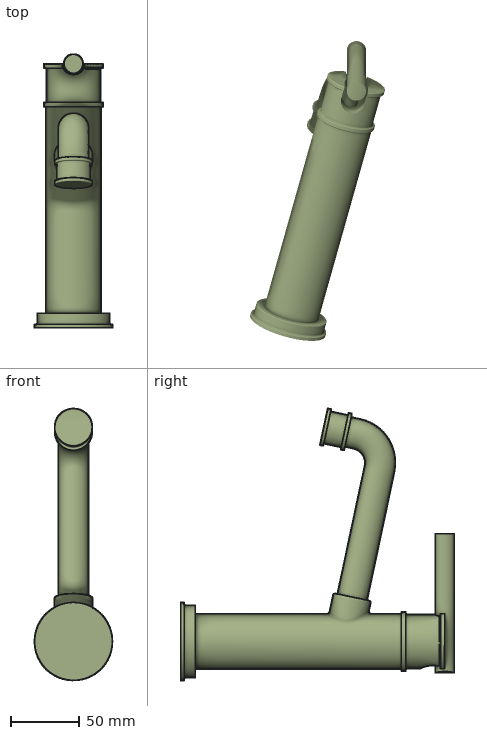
import cadquery as cq
import math

FLANGE_DIAMETER = 57.15
FLANGE_END = 2.6
HUB_DIAMETER = 53.1
HUB_END = 10.8
HUB_FILLET = 1.1
BODY_DIAMETER = 40.64
CAP_DIAMETER = 39.6
BAND_DIAMETER = 43.4
BAND_WIDTH = 3.3
BAND_START = 161.6
BAND_FILLET = 0.7
EDGE_ROUND = 0.5

TOLERANCE = 0.001

OVERALL_LENGTH = 200.34
HANDLE_DIAMETER = 14.1
HANDLE_BOTTOM = -23.0
HANDLE_TOP = 78.8
STEM_DIAMETER = 10.0
CAP_END = OVERALL_LENGTH - HANDLE_DIAMETER / 2

HANDLE_HOLE_DIAMETER = 16.0
SLOT_WIDTH = 17.8
SLOT_LENGTH = 18.1

SPOUT_LEAN = 12.0
SPOUT_ROOT_Y = 118.7
SPOUT_DIAMETER = 22.3
BEND_START = 129.1
BEND_RADIUS = 21.6
COLLAR_DIAMETER = 28.2
COLLAR_END = 33.2
COLLAR_ROUND = 1.7
COLLAR_BLEND = 1.5
OUTLET_DIAMETER = 24.2
OUTLET_BAND_DIAMETER = 27.6
OUTLET_BAND_WIDTH = 2.6
OUTLET_START = 6.5
OUTLET_END = 24.7
OUTLET_ROUND = 0.5


def stepped_shaft(sections):
    """Coaxial shaft along +Z from (diameter, start, end) sections."""
    outline = [(0, sections[0][1])]
    for diameter, start, end in sections:
        outline.append((diameter / 2, start))
        outline.append((diameter / 2, end))
    outline.append((0, sections[-1][2]))
    return cq.Workplane("XZ").polyline(outline).close().revolve(360, (0, 0, 0), (0, 1, 0))


def round_circle(shaft, diameter, position, radius):
    """Fillet the circular edge of the given diameter at one position along the shaft."""

    def is_wanted(edge):
        same_size = abs(edge.radius() - diameter / 2) < TOLERANCE
        return same_size and abs(edge.Center().z - position) < TOLERANCE

    return shaft.edges("%CIRCLE").filter(is_wanted).fillet(radius)


def make_body():
    band_end = BAND_START + BAND_WIDTH
    end_band_start = CAP_END - BAND_WIDTH
    body = stepped_shaft([
        (FLANGE_DIAMETER, 0, FLANGE_END),
        (HUB_DIAMETER, FLANGE_END, HUB_END),
        (BODY_DIAMETER, HUB_END, BAND_START),
        (BAND_DIAMETER, BAND_START, band_end),
        (CAP_DIAMETER, band_end, end_band_start),
        (BAND_DIAMETER, end_band_start, CAP_END),
    ])
    body = round_circle(body, FLANGE_DIAMETER, FLANGE_END, EDGE_ROUND)
    body = round_circle(body, HUB_DIAMETER, FLANGE_END, HUB_FILLET)
    body = round_circle(body, HUB_DIAMETER, HUB_END, EDGE_ROUND)
    for position in (BAND_START, band_end, end_band_start, CAP_END):
        body = round_circle(body, BAND_DIAMETER, position, EDGE_ROUND)
    body = round_circle(body, BODY_DIAMETER, BAND_START, BAND_FILLET)
    for position in (band_end, end_band_start):
        body = round_circle(body, CAP_DIAMETER, position, BAND_FILLET)
    return body.rotate((0, 0, 0), (1, 0, 0), -90)


def make_handle_clearance():
    """Round hole around the handle above the body axis, and the longer slot below it."""
    reach = BAND_DIAMETER / 2
    hole = cq.Workplane("XY", origin=(0, CAP_END, 0)).circle(HANDLE_HOLE_DIAMETER / 2).extrude(reach)
    round_center = CAP_END - SLOT_LENGTH + SLOT_WIDTH / 2
    slot = (
        cq.Workplane("XY")
        .moveTo(SLOT_WIDTH / 2, CAP_END)
        .lineTo(SLOT_WIDTH / 2, round_center)
        .threePointArc((0, CAP_END - SLOT_LENGTH), (-SLOT_WIDTH / 2, round_center))
        .lineTo(-SLOT_WIDTH / 2, CAP_END)
        .close()
        .extrude(-reach)
    )
    return hole.union(slot)


def make_handle():
    """Upright rod, its lower end finished to a cylinder coaxial with the body."""
    handle = (
        cq.Workplane("XY", origin=(0, CAP_END, HANDLE_BOTTOM))
        .circle(HANDLE_DIAMETER / 2)
        .extrude(HANDLE_TOP - HANDLE_BOTTOM)
    )
    handle = handle.faces(">Z").edges().fillet(EDGE_ROUND)
    envelope = (
        cq.Workplane("XZ", origin=(0, CAP_END + HANDLE_DIAMETER, 0))
        .moveTo(HANDLE_BOTTOM, HANDLE_TOP)
        .lineTo(HANDLE_BOTTOM, 0)
        .threePointArc((0, HANDLE_BOTTOM), (-HANDLE_BOTTOM, 0))
        .lineTo(-HANDLE_BOTTOM, HANDLE_TOP)
        .close()
        .extrude(2 * HANDLE_DIAMETER)
    )
    return handle.intersect(envelope)


def make_handle_stem():
    """Stem on the body axis that carries the handle across its clearance."""
    return (
        cq.Workplane("XZ", origin=(0, CAP_END, 0))
        .circle(STEM_DIAMETER / 2)
        .extrude(SLOT_LENGTH + STEM_DIAMETER / 2)
    )


def lean(upright):
    """Tilt a solid built along +Z onto the spout axis."""
    return upright.rotate((0, 0, 0), (1, 0, 0), -SPOUT_LEAN).translate((0, SPOUT_ROOT_Y, 0))


def make_collar():
    collar = cq.Workplane("XY").circle(COLLAR_DIAMETER / 2).extrude(COLLAR_END)
    return lean(collar.faces(">Z").edges().fillet(COLLAR_ROUND))


def make_spout():
    bend_end = BEND_START + BEND_RADIUS
    mid_offset = BEND_RADIUS * math.sqrt(0.5)
    path = (
        cq.Workplane("YZ")
        .lineTo(0, BEND_START)
        .threePointArc(
            (mid_offset - BEND_RADIUS, BEND_START + mid_offset),
            (-BEND_RADIUS, bend_end),
        )
        .lineTo(-BEND_RADIUS - OUTLET_START, bend_end)
    )
    tube = cq.Workplane("XY").circle(SPOUT_DIAMETER / 2).sweep(path)
    sections = [
        (OUTLET_BAND_DIAMETER, OUTLET_START, OUTLET_START + OUTLET_BAND_WIDTH),
        (OUTLET_DIAMETER, OUTLET_START + OUTLET_BAND_WIDTH, OUTLET_END - OUTLET_BAND_WIDTH),
        (OUTLET_BAND_DIAMETER, OUTLET_END - OUTLET_BAND_WIDTH, OUTLET_END),
    ]
    outlet = stepped_shaft(sections).edges("%CIRCLE").fillet(OUTLET_ROUND)
    outlet = outlet.rotate((0, 0, 0), (1, 0, 0), 90)
    return lean(tube.union(outlet.translate((0, -BEND_RADIUS, bend_end))))


def make_collared_body():
    """Body with the handle clearance, and the spout collar filleted onto it."""
    body = make_body().cut(make_handle_clearance()).union(make_collar())
    near_joint = cq.selectors.BoxSelector(
        (-COLLAR_DIAMETER, SPOUT_ROOT_Y - COLLAR_DIAMETER, 0),
        (COLLAR_DIAMETER, SPOUT_ROOT_Y + COLLAR_DIAMETER, BODY_DIAMETER / 2 + COLLAR_BLEND),
        boundingbox=True,
    )
    return body.edges(near_joint).fillet(COLLAR_BLEND)


result = make_collared_body()
result = result.union(make_handle()).union(make_handle_stem())
result = result.union(make_spout())